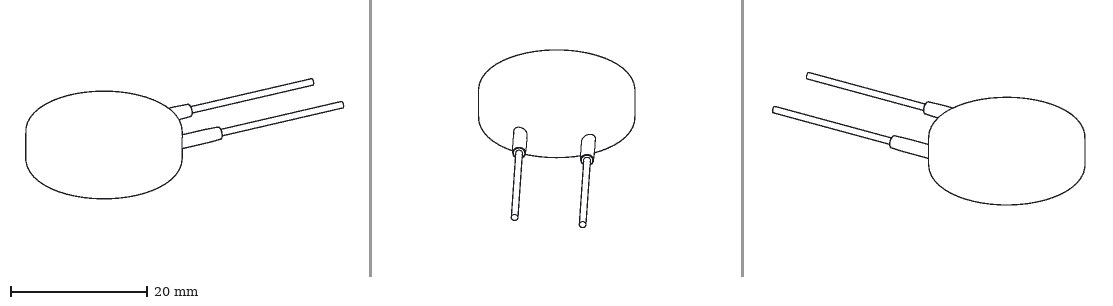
import cadquery as cq

body_diameter = 23.0
body_height = 6.5
body_edge_radius = 1.0

total_length = 48.0
lead_spacing = 10.0
lead_height_step = 1.0
wire_diameter = 1.0
wire_length = 20.0
sleeve_diameter = 2.0
sleeve_tip_diameter = 1.85
sleeve_taper_length = 2.1
sleeve_tip_chamfer = 0.1

body_radius = body_diameter / 2
lead_end_y = total_length - body_radius
sleeve_end_y = lead_end_y - wire_length
taper_start_y = sleeve_end_y - sleeve_taper_length
lead_root_y = body_radius / 2


def make_body():
    disc = cq.Workplane("XY").cylinder(body_height, body_radius)
    return disc.edges("%CIRCLE").fillet(body_edge_radius)


def make_lead(x, z):
    """Wire and tapered sleeve with a chamfered tip, revolved about an axis parallel to Y."""
    profile = (
        cq.Workplane("XY")
        .moveTo(0, lead_root_y)
        .lineTo(sleeve_diameter / 2, lead_root_y)
        .lineTo(sleeve_diameter / 2, taper_start_y)
        .lineTo(sleeve_tip_diameter / 2, sleeve_end_y - sleeve_tip_chamfer)
        .lineTo(sleeve_tip_diameter / 2 - sleeve_tip_chamfer, sleeve_end_y)
        .lineTo(wire_diameter / 2, sleeve_end_y)
        .lineTo(wire_diameter / 2, lead_end_y)
        .lineTo(0, lead_end_y)
        .close()
    )
    return profile.revolve(360, (0, 0, 0), (0, 1, 0)).translate((x, 0, z))


result = make_body()
for side in (-1, 1):
    result = result.union(make_lead(side * lead_spacing / 2, side * lead_height_step / 2))